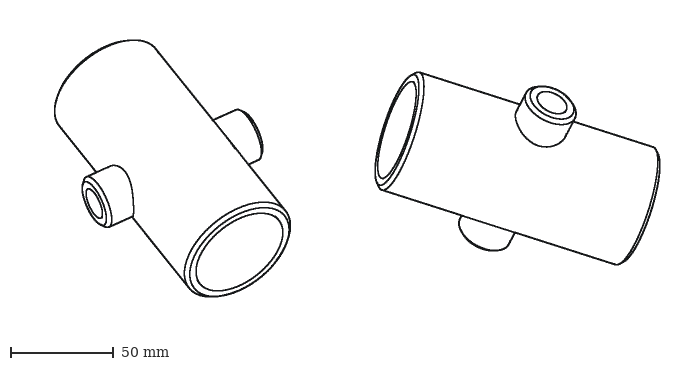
import cadquery as cq

tube_length = 127.0
tube_diameter = 60.3
tube_bore = 49.4

branch_span = 88.9
branch_diameter = 26.9
branch_bore = 15.6

end_chamfer = 1.9


def chamfered_bar(plane, diameter, length):
    """Solid round bar centred on the origin, bevelled at both ends."""
    bar = cq.Workplane(plane).circle(diameter / 2).extrude(length / 2, both=True)
    return bar.faces("<X or >X" if plane == "YZ" else "<Y or >Y").chamfer(end_chamfer)


def bore(plane, diameter, length):
    """Round through-hole cutter centred on the origin."""
    return cq.Workplane(plane).circle(diameter / 2).extrude(length / 2, both=True)


tube = chamfered_bar("YZ", tube_diameter, tube_length)
branches = chamfered_bar("XZ", branch_diameter, branch_span)

result = (
    tube.union(branches)
    .cut(bore("YZ", tube_bore, tube_length))
    .cut(bore("XZ", branch_bore, branch_span))
)